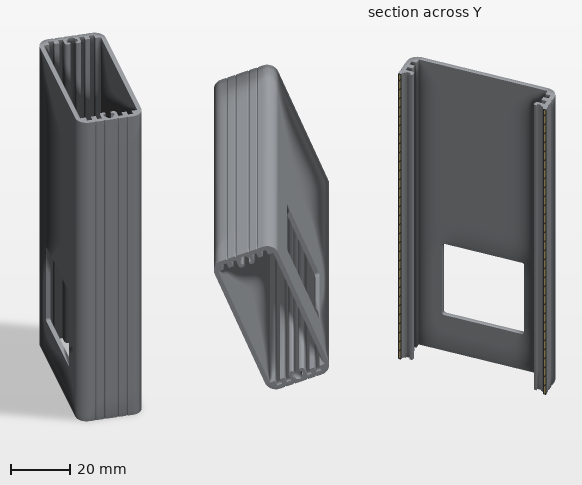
import cadquery as cq

width = 54.0
depth = 23.0
height = 120.0
corner_radius = 4.0
wall = 1.5

rail_depth = 3.5
guide_slot_spans = ((2.9, 4.5), (6.2, 8.0))

channel_depth = 4.9
screw_radius = 1.3
shoulder_depth = 2.4
channel_half_span = 1.8
lip_depth = 3.8
lip_half_gap = 1.0
lip_outer_radius = 1.0
lip_inner_radius = 0.5

groove_positions = (2.4, 5.5)
groove_width = 0.7
groove_depth = 0.4

window_size = 30.0
window_center_height = 30.0
window_corner_radius = 1.0

half_width = width / 2
arm_half_span = guide_slot_spans[0][0]


def side_prism(side, depth_from, depth_to, y_from, y_to):
    """Full-height block, placed by its depth below one side face (side is -1 or 1)."""
    center_x = side * (half_width - (depth_from + depth_to) / 2)
    center_y = (y_from + y_to) / 2
    return (
        cq.Workplane("XY")
        .center(center_x, center_y)
        .rect(depth_to - depth_from, y_to - y_from)
        .extrude(height)
    )


def rounded_block():
    return cq.Workplane("XY").rect(width, depth).extrude(height).edges("|Z").fillet(corner_radius)


def main_cavity():
    return (
        cq.Workplane("XY")
        .rect(width - 2 * rail_depth, depth - 2 * wall)
        .extrude(height)
    )


def mouth(side):
    """Gap between the lips, reaching down to the channel shoulders."""
    return side_prism(side, shoulder_depth, channel_depth, -lip_half_gap, lip_half_gap)


def screw_channel(side):
    """Round-bottomed channel with square shoulders and a narrower mouth between the lips."""
    bottom = (
        cq.Workplane("XY")
        .center(side * (half_width - shoulder_depth), 0)
        .circle(screw_radius)
        .extrude(height)
    )
    hollow = side_prism(side, shoulder_depth, lip_depth, -channel_half_span, channel_half_span)
    return bottom.union(hollow).union(mouth(side))


def channel_arms(side):
    """Pair of hooked arms around the screw channel, with rounded tips."""
    tip_face = "<X" if side > 0 else ">X"
    pad = side_prism(side, wall, channel_depth, -arm_half_span, arm_half_span)
    rounded_pad = pad.faces(tip_face).edges("|Z").fillet(lip_outer_radius)
    hooks = rounded_pad.cut(mouth(side))
    mouth_edges = cq.selectors.BoxSelector(
        (-width, -channel_half_span, 0), (width, channel_half_span, height)
    )
    return hooks.faces(tip_face).edges("|Z").edges(mouth_edges).fillet(lip_inner_radius)


def v_groove(side, y):
    face_x = side * half_width
    return (
        cq.Workplane("XY")
        .moveTo(face_x, y - groove_width / 2)
        .lineTo(face_x - side * groove_depth, y)
        .lineTo(face_x, y + groove_width / 2)
        .close()
        .extrude(height)
    )


def window():
    return (
        cq.Workplane("XZ")
        .center(0, window_center_height)
        .rect(window_size, window_size)
        .extrude(depth / 2)
        .edges("|Y")
        .fillet(window_corner_radius)
    )


result = rounded_block().cut(main_cavity())
for side in (-1, 1):
    for inner, outer in guide_slot_spans:
        result = result.cut(side_prism(side, wall, rail_depth, inner, outer))
        result = result.cut(side_prism(side, wall, rail_depth, -outer, -inner))
    result = result.union(channel_arms(side)).cut(screw_channel(side))
    for y in groove_positions:
        result = result.cut(v_groove(side, y)).cut(v_groove(side, -y))
result = result.cut(window())